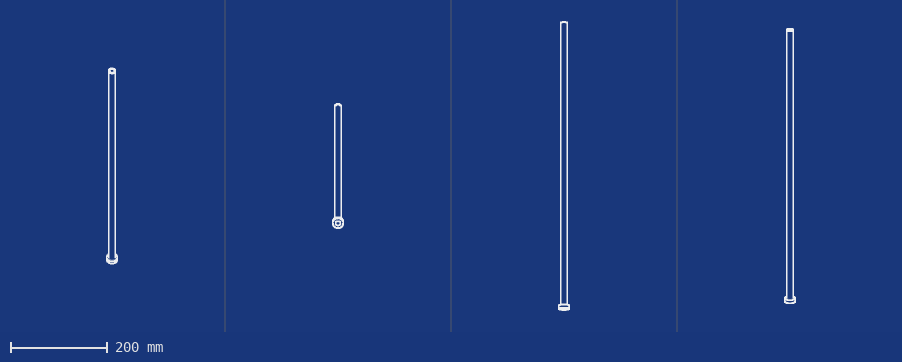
import cadquery as cq

overall_length = 607.0
head_diameter = 22.0
head_height = 7.0
tube_diameter = 14.0
bore_diameter = 10.0
neck_fillet_radius = 0.7

head_radius = head_diameter / 2
tube_radius = tube_diameter / 2
bore_radius = bore_diameter / 2


def sleeve_profile():
    """Half section on the -X side of the axis, walked from the bottom of the bore."""
    return (
        cq.Workplane("XZ")
        .moveTo(-bore_radius, 0)
        .lineTo(-head_radius, 0)
        .lineTo(-head_radius, head_height)
        .lineTo(-tube_radius - neck_fillet_radius, head_height)
        .radiusArc((-tube_radius, head_height + neck_fillet_radius), -neck_fillet_radius)
        .lineTo(-tube_radius, overall_length)
        .lineTo(-bore_radius, overall_length)
        .close()
    )


result = sleeve_profile().revolve(360, (0, 0, 0), (0, 1, 0))